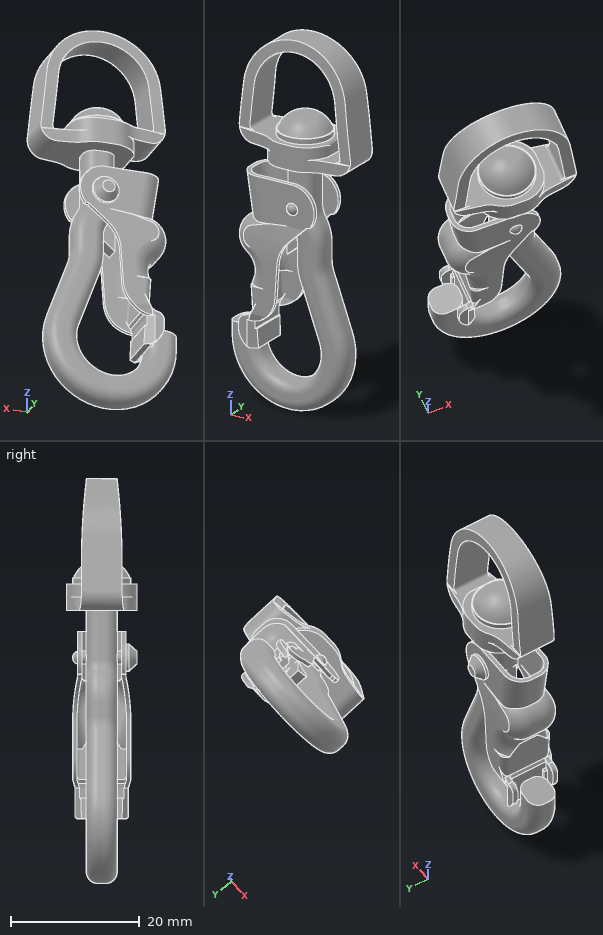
import cadquery as cq
import math


TOTAL_HEIGHT = 63.0

ROD_X = 5.05
ROD_Y = 4.85
ROD_CORNER = 1.9

BOWL_X = -2.1
BOWL_OUTER_RADIUS = 10.75
SHANK_LEAN = 20.0
SHANK_OFFSET = 1.75
JOG_BOTTOM = 28.6
JOG_TOP = 34.65
KNEE_RADIUS = 7.55
TIP_HEIGHT = 13.0
TIP_SLOPE = 8.5
TIP_CUT = 5.05
SPUR_BOTTOM = 26.15
SPUR_SLOPE = 40.0
SPUR_WIDTH = 2.5

HEAD_RADIUS = 4.55
HEAD_RIM = 0.95
DOME_BASE_RADIUS = 4.4
DOME_HEIGHT = 2.95

PIVOT_Z = 35.15
PIN_RADIUS = 1.0
PIN_TIP_HEIGHT = 0.75
PIN_HEAD_RADIUS = 2.15
PIN_HEAD_RIM = 0.45
PIN_HEAD_CONE = 1.25
PIN_HEAD_END_RADIUS = 1.0

HUB_SIZE = 11.0
HUB_CORNER = 4.55
HUB_BOTTOM = 42.45
SLAB = 2.1
HUB_END_ROUND = 0.45
ARCH_RADIUS = 9.45
STRAP = 1.95
LEG_LEAN = 6.2
BEND_INNER_RADIUS = 0.7
STRAP_TOP_HALF = 2.4
STRAP_MIDDLE_HALF = 2.9
STRAP_BOTTOM_HALF = 3.15
STRAP_MIDDLE_Z = 57.6
ARM_ROOT_X = 3.8
ARM_ROOT_HALF = 4.15
ARM_END_X = 11.0
ARM_END_HALF = 3.1
ARM_BLEND = 5.05

WALL = 0.7
COLLAR_HALF = 3.8
COLLAR_CORNER = 3.1
COLLAR_TOP_X = -9.75
COLLAR_LEAN = 8.5
EAR_RADIUS = 4.1
CREASE_X = -5.85
CREASE_Z = 31.6
CREASE_SLOPE = 5.9
BODY_HALF = 4.55
BODY_CORNER = 3.15
KNOB_X = -6.9
KNOB_Z = 28.6
KNOB_RADIUS = 3.8
KNOB_TOP = 32.2
CREASE_BEND_X = -6.6
KNOB_TOP_ANGLE = 105.0
HOLLOW_Z = 23.0
HOLLOW_RADIUS = 3.0
HOLLOW_DROP = 2.1
FLAT_TOP_X = -7.75
FLAT_BOTTOM_X = -7.3
FLAT_BOTTOM_Z = 16.2
FLAT_CORNER = 1.15
LIP_X = -7.6
LIP_Z = 15.6

FLARE_TOP = 32.1
FLARE_MIDDLE = 28.65
FLARE_MIDDLE_HALF = 4.35
FLARE_BOTTOM = 25.2
EAR_END_ANGLE = -38.0
REAR_SLOPE_TOP = (2.65, 32.5)
REAR_SLOPE_BOTTOM = (-0.4, 29.6)
REAR_STRAIGHT_TOP = (-2.3, 25.3)
REAR_STRAIGHT_BOTTOM = (-2.7, 19.65)

CATCH_TOP = 14.85
CATCH_TOP_BACK = -7.05
CATCH_BOTTOM = 10.1
CATCH_BOTTOM_BACK = -6.6
CATCH_STEP = 13.35
CATCH_STEP_BACK = -6.8
CATCH_BACK_HALF = 3.15
CATCH_HALF = 4.15
CHEEK_INNER = 3.3
SLOT_HALF = 2.6
WEB_FRONT = -7.75
FLANGE_FRONT = -8.1
FLANGE_TOP = 14.1
CHEEK_FRONT = -9.65
CHEEK_TOE_X = -7.6
CHEEK_CURVE_X = -8.9
CHEEK_CURVE_Z = 11.1
CHEEK_CURVE_TOP = 12.8
CHEEK_SHOULDER = 14.5
CHEEK_BROW_X = -9.2
CHEEK_BROW_Z = 15.25
CHEEK_TOP_X = -8.25
CHEEK_TOP = 15.6

HUB_TOP = HUB_BOTTOM + 2 * SLAB
HUB_MIDDLE = HUB_BOTTOM + SLAB
ARM_NOTCH_X = HUB_SIZE / 2 - HUB_CORNER + math.sqrt(
    HUB_CORNER**2 - (ARM_ROOT_HALF - HUB_SIZE / 2 + HUB_CORNER) ** 2
)
ARCH_Z = TOTAL_HEIGHT - ARCH_RADIUS
PATH_RADIUS = BOWL_OUTER_RADIUS - ROD_X / 2
COLLAR_TOP = PIVOT_Z + EAR_RADIUS
FAR = 25.2
SELECT_MARGIN = 0.05


def extrude_y(sketch, half_width):
    """Extrude an XZ outline equally to both sides of the middle plane."""
    return sketch.extrude(half_width, both=True)


def polar(center_x, center_z, radius, degrees):
    """Point on a circle in the XZ plane, its angle measured from +X toward +Z."""
    angle = math.radians(degrees)
    return (center_x + radius * math.cos(angle), center_z + radius * math.sin(angle))


def rod_section(workplane):
    section = cq.Sketch().rect(ROD_X, ROD_Y).vertices().fillet(ROD_CORNER)
    return workplane.placeSketch(section)


def eye_outline(inset, left_floor, right_floor, step_x):
    """Arch with leaning legs and a stepped floor, moved inward by the inset."""
    lean = math.radians(LEG_LEAN)
    radius = ARCH_RADIUS - inset
    tangent_x, tangent_z = polar(0, ARCH_Z, radius, LEG_LEAN)

    def leg_x(z):
        return tangent_x + (tangent_z - z) * math.tan(lean)

    return (
        cq.Workplane("XZ")
        .moveTo(tangent_x, tangent_z)
        .threePointArc((0, ARCH_Z + radius), (-tangent_x, tangent_z))
        .lineTo(-leg_x(left_floor), left_floor)
        .lineTo(step_x, left_floor)
        .lineTo(step_x, right_floor)
        .lineTo(leg_x(right_floor), right_floor)
        .close()
    )


def eye_frame():
    hub_half = HUB_SIZE / 2
    outer = extrude_y(eye_outline(0, HUB_MIDDLE, HUB_BOTTOM, -hub_half), hub_half)
    outer = outer.edges("|Y").edges("<X or >X").fillet(BEND_INNER_RADIUS + STRAP)
    inner = extrude_y(eye_outline(STRAP, HUB_TOP, HUB_MIDDLE, hub_half), HUB_SIZE)
    inner = inner.edges("|Y").edges("<X or >X").fillet(BEND_INNER_RADIUS)
    frame = outer.cut(inner)
    for x, z in ((-hub_half, HUB_BOTTOM), (hub_half, HUB_TOP)):
        corner = cq.selectors.NearestToPointSelector((x, 0, z))
        frame = frame.edges("|Y").edges(corner).fillet(HUB_END_ROUND)
    return frame


def eye_hub():
    return (
        cq.Workplane("XY", origin=(0, 0, HUB_BOTTOM))
        .rect(HUB_SIZE, HUB_SIZE)
        .extrude(2 * SLAB)
        .edges("|Z")
        .fillet(HUB_CORNER)
    )


def eye_arm(side, floor):
    """Slab of the hub with a tapered arm toward one side, blended into each other."""
    arm = (
        cq.Workplane("XY", origin=(0, 0, floor))
        .polyline([
            (0, -ARM_ROOT_HALF), (side * ARM_ROOT_X, -ARM_ROOT_HALF), (side * ARM_END_X, -ARM_END_HALF),
            (side * ARM_END_X, ARM_END_HALF), (side * ARM_ROOT_X, ARM_ROOT_HALF), (0, ARM_ROOT_HALF),
        ])
        .close()
        .extrude(SLAB)
    )
    slab_space = cq.Workplane("XY", origin=(0, 0, floor)).rect(FAR, FAR).extrude(SLAB)
    slab = eye_hub().intersect(slab_space).union(arm)
    for y in (-ARM_ROOT_HALF, ARM_ROOT_HALF):
        notch = cq.selectors.NearestToPointSelector((side * ARM_NOTCH_X, y, floor + SLAB / 2))
        slab = slab.edges("|Z").edges(notch).fillet(ARM_BLEND)
    return slab


def strap_width():
    """Side outline of the strap, narrowing toward the top of the arch."""
    return (
        cq.Workplane("YZ")
        .moveTo(-STRAP_BOTTOM_HALF, HUB_TOP)
        .lineTo(STRAP_BOTTOM_HALF, HUB_TOP)
        .threePointArc((STRAP_MIDDLE_HALF, STRAP_MIDDLE_Z), (STRAP_TOP_HALF, TOTAL_HEIGHT))
        .lineTo(-STRAP_TOP_HALF, TOTAL_HEIGHT)
        .threePointArc((-STRAP_MIDDLE_HALF, STRAP_MIDDLE_Z), (-STRAP_BOTTOM_HALF, HUB_TOP))
        .close()
        .extrude(FAR, both=True)
    )


def long_leg_width():
    """The +X leg reaches one slab lower, beside the hub."""
    return (
        cq.Workplane("XY", origin=(HUB_SIZE / 2, 0, HUB_MIDDLE))
        .box(FAR, 2 * STRAP_BOTTOM_HALF, SLAB, centered=(False, True, False))
    )


def make_eye():
    stem_hole = rod_section(cq.Workplane("XY", origin=(0, 0, HUB_BOTTOM))).extrude(2 * SLAB)
    arms = eye_arm(-1, HUB_MIDDLE).union(eye_arm(1, HUB_BOTTOM))
    widths = strap_width().union(long_leg_width()).union(eye_hub()).union(arms)
    return eye_frame().intersect(widths).cut(stem_hole)


def hook_path():
    """Center line of the rod, from the hub top down and around the bowl to beyond the tip."""
    lean = math.radians(SHANK_LEAN)
    bowl_z = BOWL_OUTER_RADIUS
    bowl_start = polar(BOWL_X, bowl_z, PATH_RADIUS, SHANK_LEAN)
    jog_middle_z = (JOG_TOP + JOG_BOTTOM) / 2
    knee_z = bowl_start[1] + (bowl_start[0] - SHANK_OFFSET) / math.tan(lean)
    knee_tangent = KNEE_RADIUS * math.tan(lean / 2)
    knee_start = (SHANK_OFFSET, knee_z + knee_tangent)
    knee_end = (
        SHANK_OFFSET + knee_tangent * math.sin(lean),
        knee_z - knee_tangent * math.cos(lean),
    )
    return (
        cq.Workplane("XZ")
        .moveTo(0, HUB_TOP)
        .lineTo(0, JOG_TOP)
        .tangentArcPoint((SHANK_OFFSET / 2, jog_middle_z), relative=False)
        .tangentArcPoint((SHANK_OFFSET, JOG_BOTTOM), relative=False)
        .lineTo(*knee_start)
        .tangentArcPoint(knee_end, relative=False)
        .lineTo(*bowl_start)
        .threePointArc((BOWL_X, bowl_z - PATH_RADIUS), (BOWL_X - PATH_RADIUS, bowl_z))
        .lineTo(BOWL_X - PATH_RADIUS, bowl_z + TIP_CUT)
    )


def slope_cutter(x, z, slope, height):
    """Block on a sloping line through (x, z), reaching up or down by the height."""
    reach = abs(height)
    rise = reach * math.tan(math.radians(slope))
    points = [
        (x - reach, z - rise), (x + reach, z + rise),
        (x + reach, z + height), (x - reach, z + height),
    ]
    return extrude_y(cq.Workplane("XZ").polyline(points).close(), FAR)


def make_rod():
    rod = rod_section(cq.Workplane("XY", origin=(0, 0, HUB_TOP))).sweep(hook_path())
    tip_edge_x = BOWL_X - BOWL_OUTER_RADIUS
    return rod.cut(slope_cutter(tip_edge_x, TIP_HEIGHT, TIP_SLOPE, TIP_CUT))


def make_spur():
    """Nub that continues the -X side of the stem downward beside the shank."""
    spur = (
        cq.Workplane("XY", origin=(-ROD_X / 2, 0, SPUR_BOTTOM))
        .box(ROD_X / 2, SPUR_WIDTH, JOG_TOP - SPUR_BOTTOM, centered=(False, True, False))
    )
    return spur.cut(slope_cutter(-ROD_X / 2, SPUR_BOTTOM, SPUR_SLOPE, -ROD_X))


def cap_middle(base_radius, height):
    """Distance from the axis and height above the base, midway along the arc of a spherical cap."""
    sphere_radius = (base_radius**2 + height**2) / (2 * height)
    half_angle = math.asin(base_radius / sphere_radius) / 2
    return (
        sphere_radius * math.sin(half_angle),
        height - sphere_radius * (1 - math.cos(half_angle)),
    )


def make_rivet_head():
    rim_top = HUB_TOP + HEAD_RIM
    dome_middle = cap_middle(DOME_BASE_RADIUS, DOME_HEIGHT)
    return (
        cq.Workplane("XZ")
        .moveTo(0, HUB_TOP)
        .lineTo(HEAD_RADIUS, HUB_TOP)
        .lineTo(HEAD_RADIUS, rim_top)
        .lineTo(DOME_BASE_RADIUS, rim_top)
        .threePointArc((dome_middle[0], rim_top + dome_middle[1]), (0, rim_top + DOME_HEIGHT))
        .close()
        .revolve(360, (0, 0), (0, 1))
    )


def make_pin():
    """Pin with a conical head on the +Y side and a domed tip on the -Y side."""
    tip_middle_x, tip_middle_height = cap_middle(PIN_RADIUS, PIN_TIP_HEIGHT)
    rim_end = COLLAR_HALF + PIN_HEAD_RIM
    return (
        cq.Workplane("XY", origin=(0, 0, PIVOT_Z))
        .moveTo(0, -COLLAR_HALF - PIN_TIP_HEIGHT)
        .threePointArc((tip_middle_x, -COLLAR_HALF - tip_middle_height), (PIN_RADIUS, -COLLAR_HALF))
        .lineTo(PIN_RADIUS, COLLAR_HALF)
        .lineTo(PIN_HEAD_RADIUS, COLLAR_HALF)
        .lineTo(PIN_HEAD_RADIUS, rim_end)
        .lineTo(PIN_HEAD_END_RADIUS, rim_end + PIN_HEAD_CONE)
        .lineTo(0, rim_end + PIN_HEAD_CONE)
        .close()
        .revolve(360, (0, 0), (0, 1))
    )


def make_hook():
    return make_rod().union(make_spur()).union(make_rivet_head()).union(make_pin())


def crease_z(x):
    return CREASE_Z + (x - CREASE_X) * math.tan(math.radians(CREASE_SLOPE))


def collar_form(inset):
    """Upper channel, its front leaning and rounded."""
    lean = math.tan(math.radians(COLLAR_LEAN))
    top_x = COLLAR_TOP_X + inset
    bottom_x = top_x + (COLLAR_TOP - crease_z(top_x)) * lean
    outline = (
        cq.Workplane("XZ")
        .moveTo(top_x, COLLAR_TOP)
        .lineTo(bottom_x, crease_z(bottom_x))
        .lineTo(FAR, crease_z(FAR))
        .lineTo(FAR, COLLAR_TOP)
        .close()
    )
    form = extrude_y(outline, COLLAR_HALF - inset)
    return form.faces("<X").edges("#Y").edges("<Y or >Y").fillet(COLLAR_CORNER - inset)


def thumb_form(inset):
    """Channel with the knob and the hollow below it on its front."""
    rise = KNOB_Z - HOLLOW_Z
    reach = KNOB_RADIUS + HOLLOW_RADIUS
    hollow_x = KNOB_X - math.sqrt(reach**2 - rise**2)
    join_angle = math.degrees(math.atan2(rise, KNOB_X - hollow_x))
    knob = KNOB_RADIUS - inset
    hollow = HOLLOW_RADIUS + inset
    start = polar(KNOB_X, KNOB_Z, knob, KNOB_TOP_ANGLE)
    hollow_end_angle = -math.degrees(math.asin(HOLLOW_DROP / hollow))
    hollow_end = polar(hollow_x, HOLLOW_Z, hollow, hollow_end_angle)
    outline = (
        cq.Workplane("XZ")
        .moveTo(*start)
        .threePointArc((KNOB_X - knob, KNOB_Z), polar(hollow_x, HOLLOW_Z, hollow, join_angle))
        .threePointArc((hollow_x + hollow, HOLLOW_Z), hollow_end)
        .lineTo(FAR, hollow_end[1])
        .lineTo(FAR, COLLAR_TOP)
        .close()
    )
    form = extrude_y(outline, BODY_HALF - inset)
    lowest = hollow_end[1] + SELECT_MARGIN
    highest = start[1] - SELECT_MARGIN
    front = cq.selectors.BoxSelector((-FAR, -FAR, lowest), (0, FAR, highest))
    form = form.faces("<Y or >Y").edges(front).fillet(BODY_CORNER - inset)
    above_crease = extrude_y(
        cq.Workplane("XZ")
        .polyline([
            (-FAR, KNOB_TOP), (CREASE_BEND_X, KNOB_TOP), (CREASE_X, CREASE_Z),
            (FAR, crease_z(FAR)), (FAR, 2 * FAR), (-FAR, 2 * FAR),
        ])
        .close(),
        FAR,
    )
    return form.cut(above_crease)


def flat_front_x(z):
    slope = (FLAT_BOTTOM_X - FLAT_TOP_X) / (HOLLOW_Z - FLAT_BOTTOM_Z)
    return FLAT_TOP_X + (HOLLOW_Z - z) * slope


def flat_form(inset):
    """Flat-fronted channel below the hollow."""
    top = HOLLOW_Z - HOLLOW_DROP
    outline = (
        cq.Workplane("XZ")
        .moveTo(flat_front_x(top) + inset, top)
        .lineTo(FLAT_BOTTOM_X + inset, FLAT_BOTTOM_Z)
        .lineTo(LIP_X + inset, LIP_Z)
        .lineTo(WEB_FRONT + inset, CATCH_TOP)
        .lineTo(FAR, CATCH_TOP)
        .lineTo(FAR, top)
        .close()
    )
    form = extrude_y(outline, BODY_HALF - inset)
    front = cq.selectors.BoxSelector((-FAR, -FAR, FLAT_BOTTOM_Z), (0, FAR, top - SELECT_MARGIN))
    return form.faces("<Y or >Y").edges(front).fillet(FLAT_CORNER - inset)


def flare(inset):
    """Front-to-back outline of the lower channel: flared below the crease, drawn in at the catch."""
    top, middle, wide = COLLAR_HALF - inset, FLARE_MIDDLE_HALF - inset, BODY_HALF - inset
    low = CATCH_HALF - inset
    return (
        cq.Workplane("YZ")
        .moveTo(-top, COLLAR_TOP)
        .lineTo(-top, FLARE_TOP)
        .threePointArc((-middle, FLARE_MIDDLE), (-wide, FLARE_BOTTOM))
        .lineTo(-wide, FLAT_BOTTOM_Z)
        .lineTo(-low, CATCH_TOP)
        .lineTo(low, CATCH_TOP)
        .lineTo(wide, FLAT_BOTTOM_Z)
        .lineTo(wide, FLARE_BOTTOM)
        .threePointArc((middle, FLARE_MIDDLE), (top, FLARE_TOP))
        .lineTo(top, COLLAR_TOP)
        .close()
        .extrude(FAR, both=True)
    )


def channel(inset):
    """Whole channel of the lever, solid and endless toward +X."""
    flat_plane = extrude_y(
        cq.Workplane("XZ")
        .polyline([
            (flat_front_x(HOLLOW_Z) + inset, HOLLOW_Z), (flat_front_x(CATCH_TOP) + inset, CATCH_TOP),
            (-FAR, CATCH_TOP), (-FAR, HOLLOW_Z),
        ])
        .close(),
        FAR,
    )
    lower = thumb_form(inset).cut(flat_plane).union(flat_form(inset)).intersect(flare(inset))
    return collar_form(inset).union(lower)


def side_outline():
    """Side plates: round ear about the pivot, sloping and curved rear edge."""
    ear_end = polar(0, PIVOT_Z, EAR_RADIUS, EAR_END_ANGLE)
    outline = (
        cq.Workplane("XZ")
        .moveTo(-FAR, COLLAR_TOP)
        .lineTo(0, COLLAR_TOP)
        .threePointArc(polar(0, PIVOT_Z, EAR_RADIUS, 0), ear_end)
        .lineTo(*REAR_SLOPE_TOP)
        .lineTo(*REAR_SLOPE_BOTTOM)
        .tangentArcPoint(REAR_STRAIGHT_TOP, relative=False)
        .lineTo(*REAR_STRAIGHT_BOTTOM)
        .tangentArcPoint((CATCH_TOP_BACK, CATCH_TOP), relative=False)
        .lineTo(-FAR, CATCH_TOP)
        .close()
    )
    return extrude_y(outline, FAR)


def plate_pair(outline, inner, outer):
    """Two mirrored plates of an XZ outline, each from the inner to the outer half width."""
    gap = cq.Workplane("XY").box(2 * FAR, 2 * inner, 2 * TOTAL_HEIGHT)
    return extrude_y(outline, outer).cut(gap)


def make_catch():
    """Web behind the hook tip, with flanges and cheeks that straddle the tip."""
    back = [
        (CATCH_BOTTOM_BACK, CATCH_BOTTOM), (CATCH_STEP_BACK, CATCH_STEP),
        (CATCH_TOP_BACK, CATCH_STEP), (CATCH_TOP_BACK, CATCH_TOP),
    ]
    web_points = [(WEB_FRONT, CATCH_TOP), (WEB_FRONT, CATCH_BOTTOM)] + back
    web = extrude_y(cq.Workplane("XZ").polyline(web_points).close(), CHEEK_INNER)
    flange_points = [(FLANGE_FRONT, FLANGE_TOP), (FLANGE_FRONT, CATCH_BOTTOM)] + back
    flange_outline = cq.Workplane("XZ").polyline(flange_points).close()
    flanges = plate_pair(flange_outline, SLOT_HALF, CHEEK_INNER)
    cheek_outline = (
        cq.Workplane("XZ")
        .moveTo(CATCH_TOP_BACK, CATCH_TOP)
        .lineTo(CATCH_TOP_BACK, CATCH_STEP)
        .lineTo(CATCH_STEP_BACK, CATCH_STEP)
        .lineTo(CATCH_BOTTOM_BACK, CATCH_BOTTOM)
        .lineTo(CHEEK_TOE_X, CATCH_BOTTOM)
        .threePointArc((CHEEK_CURVE_X, CHEEK_CURVE_Z), (CHEEK_FRONT, CHEEK_CURVE_TOP))
        .lineTo(CHEEK_FRONT, CHEEK_SHOULDER)
        .threePointArc((CHEEK_BROW_X, CHEEK_BROW_Z), (CHEEK_TOP_X, CHEEK_TOP))
        .lineTo(FLAT_BOTTOM_X, FLAT_BOTTOM_Z)
        .lineTo(CATCH_TOP_BACK, FLAT_BOTTOM_Z)
        .close()
    )
    cheeks = plate_pair(cheek_outline, CHEEK_INNER, CATCH_HALF)
    catch = web.union(flanges).union(cheeks)
    for side in (-1, 1):
        bevel = (
            cq.Workplane("XY", origin=(0, 0, CATCH_BOTTOM))
            .polyline([
                (FLANGE_FRONT, side * CATCH_HALF), (CATCH_BOTTOM_BACK, side * CATCH_BACK_HALF),
                (CATCH_BOTTOM_BACK, side * CATCH_HALF),
            ])
            .close()
            .extrude(CATCH_TOP - CATCH_BOTTOM)
        )
        catch = catch.cut(bevel)
    return catch


def make_lever():
    sheet = channel(0).cut(channel(WALL)).intersect(side_outline())
    pin_shaft = cq.Workplane("XZ", origin=(0, 0, PIVOT_Z)).circle(PIN_RADIUS).extrude(FAR, both=True)
    return sheet.union(make_catch()).cut(pin_shaft)


eye = make_eye()
hook = make_hook()
lever = make_lever()

result = cq.Compound.makeCompound([body.solids().val() for body in (eye, hook, lever)])